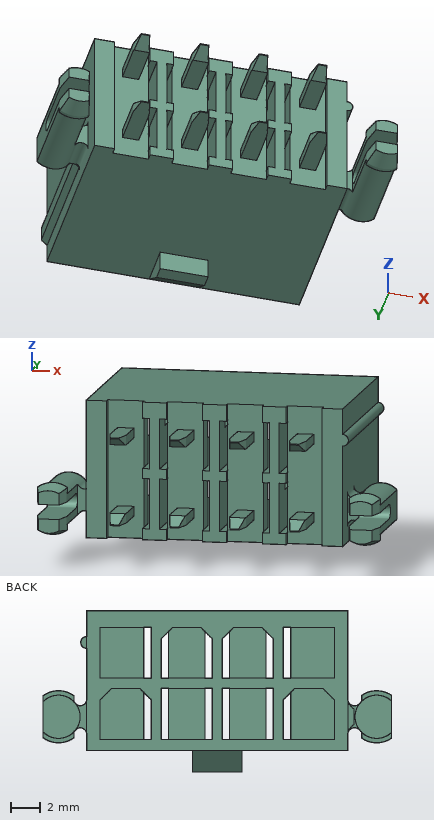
import cadquery as cq
import math


ways = 4
pitch = 4.2
housing_width = 17.95
housing_depth = 12.8
housing_height = 9.6
side_x = housing_width / 2
way_xs = [(i - (ways - 1) / 2) * pitch for i in range(ways)]

channel_width = 2.51
channel_depth = 0.48

cell_size = 3.5
cell_corner = 0.8
cell_floor_y = 2.0
cell_mid_z = 4.62
cell_zs = {"lower": cell_mid_z - pitch / 2, "upper": cell_mid_z + pitch / 2}
chamfered_ways = {"lower": (0, 3), "upper": (1, 2)}

pin_width = 1.15
pin_thickness = 0.67
pin_row_spacing = 5.45
pin_length = 3.52
pin_taper_length = 1.2
pin_wedge_length = 1.05
pin_tip_width = 0.6
pin_tip_thickness = 0.07
pin_root_y = 1.2

latch_width = 3.4
latch_height = 1.48
latch_length = 2.97
latch_flat = 0.95

rib_projection = 0.4
rib_end_gap = 0.07
rib_end_y = housing_depth - rib_end_gap
key_rib_height = 1.87
round_rib_z = 7.42

peg_z = 2.32
peg_outer_x = 11.98
peg_half_widths = {-1: 1.03, 1: 1.08}
peg_back_y = 4.12
shaft_radius = 1.48
head_radius = 1.8
head_start_y = -1.8
head_straight = 0.25
peg_tip_y = -3.33
head_inset = 0.3
slot_height = 1.0
slot_end_y = 1.75

neck_half_height = 0.77
neck_fillet = 0.43
neck_front_y = slot_end_y
neck_back_y = 4.05


def block(x0, x1, y0, y1, z0, z1):
    """Box between two opposite corners."""
    return cq.Workplane("XY").box(x1 - x0, y1 - y0, z1 - z0, centered=False).translate((x0, y0, z0))


def section(y):
    """Sketch plane at depth y with local axes along X and Z; it extrudes towards -Y."""
    return cq.Workplane("XZ", origin=(0, y, 0))


def housing_body():
    body = block(-side_x, side_x, 0, housing_depth, 0, housing_height)
    for x in way_xs:
        body = body.cut(
            block(x - channel_width / 2, x + channel_width / 2, 0, channel_depth, 0, housing_height)
        )
    return body


def contact_cell(x, z, chamfered):
    cell = section(housing_depth).center(x, z).rect(cell_size, cell_size)
    cell = cell.extrude(housing_depth - cell_floor_y)
    if chamfered:
        cell = cell.edges("|Y and >Z").chamfer(cell_corner)
    return cell


def floor_slits(z):
    """Slits through the cell floors, in the ridges between neighbouring channels."""
    slits = cq.Workplane("XY")
    for left_x, right_x in zip(way_xs, way_xs[1:]):
        bounds = (
            (left_x + channel_width / 2, left_x + cell_size / 2),
            (right_x - cell_size / 2, right_x - channel_width / 2),
        )
        for x0, x1 in bounds:
            slits = slits.add(block(x0, x1, 0, cell_floor_y, z - cell_size / 2, z + cell_size / 2))
    return slits.combine()


def pin(x, z, outward):
    """Pin with a wedge tip; its straight face is on the outward side (+1 up, -1 down)."""
    taper_y = pin_taper_length - pin_length
    wedge_y = pin_wedge_length - pin_length
    outer_z = outward * pin_thickness / 2
    side = (
        cq.Workplane("YZ")
        .polyline([
            (pin_root_y, outer_z),
            (-pin_length, outer_z),
            (-pin_length, outer_z - outward * pin_tip_thickness),
            (wedge_y, -outer_z),
            (pin_root_y, -outer_z),
        ])
        .close()
        .extrude(pin_width / 2, both=True)
    )
    plan = (
        cq.Workplane("XY")
        .polyline([
            (-pin_width / 2, pin_root_y),
            (-pin_width / 2, taper_y),
            (-pin_tip_width / 2, -pin_length),
            (pin_tip_width / 2, -pin_length),
            (pin_width / 2, taper_y),
            (pin_width / 2, pin_root_y),
        ])
        .close()
        .extrude(pin_thickness, both=True)
    )
    return side.intersect(plan).translate((x, 0, z))


def latch_ramp():
    profile = [
        (housing_depth, 0),
        (housing_depth - latch_length, 0),
        (housing_depth - latch_length, -latch_height),
        (housing_depth - latch_length + latch_flat, -latch_height),
    ]
    return cq.Workplane("YZ").polyline(profile).close().extrude(latch_width / 2, both=True)


def key_rib():
    """Bevelled rib on the -X side, running from the neck towards the mating side."""
    half = key_rib_height / 2
    profile = [
        (-side_x, peg_z - half),
        (-side_x - rib_projection, peg_z - half + rib_projection),
        (-side_x - rib_projection, peg_z + half - rib_projection),
        (-side_x, peg_z + half),
    ]
    return section(rib_end_y).polyline(profile).close().extrude(rib_end_y - neck_back_y)


def round_rib():
    """Half-round rib on the +X side."""
    return section(rib_end_y).center(side_x, round_rib_z).circle(rib_projection).extrude(rib_end_y)


def flattened_disc(plane, radius, half_width):
    """Wire of a circle cut off by two vertical flats."""
    half_flat = math.sqrt(radius**2 - half_width**2)
    return (
        plane.moveTo(-half_width, -half_flat)
        .lineTo(-half_width, half_flat)
        .threePointArc((0, radius), (half_width, half_flat))
        .lineTo(half_width, -half_flat)
        .threePointArc((0, -radius), (-half_width, -half_flat))
        .close()
    )


def peg(half_width):
    """Peg on the +X side with a tapered head and a slot; its shaft is round only where the neck meets it."""
    center_x = peg_outer_x - half_width
    cone_start_y = head_start_y - head_straight

    def at(y):
        return section(y).center(center_x, peg_z)

    shaft = at(peg_back_y).circle(shaft_radius).extrude(peg_back_y - head_start_y)
    bottom_z = peg_z - shaft_radius
    top_z = peg_z + shaft_radius
    inner_x = center_x - half_width
    shaft = shaft.cut(
        block(peg_outer_x, center_x + shaft_radius, head_start_y, peg_back_y, bottom_z, top_z)
    )
    shaft = shaft.cut(
        block(center_x - shaft_radius, inner_x, head_start_y, neck_front_y, bottom_z, top_z)
    )

    head = flattened_disc(at(head_start_y), head_radius, half_width).extrude(head_straight)
    cone_length = cone_start_y - peg_tip_y
    tip = flattened_disc(at(cone_start_y), head_radius, half_width)
    tip = flattened_disc(
        tip.workplane(offset=cone_length), head_radius - head_inset, half_width - head_inset
    ).loft(ruled=True)

    slot_radius = slot_height / 2
    slot_center_y = slot_end_y - slot_radius
    slot = block(
        center_x - head_radius, center_x + head_radius,
        peg_tip_y, slot_center_y,
        peg_z - slot_radius, peg_z + slot_radius,
    )
    slot_end = (
        cq.Workplane("YZ", origin=(center_x, slot_center_y, peg_z))
        .circle(slot_radius)
        .extrude(head_radius, both=True)
    )
    return shaft.union(head).union(tip).cut(slot).cut(slot_end)


def neck(half_width):
    """Web on the +X side, filleted into the housing and into the round peg shaft."""
    center_x = peg_outer_x - half_width
    fillet_z = neck_half_height + neck_fillet
    center_gap = shaft_radius + neck_fillet
    shaft_fillet_x = center_x - math.sqrt(center_gap**2 - fillet_z**2)
    share = shaft_radius / center_gap
    touch_x = center_x + (shaft_fillet_x - center_x) * share
    touch_z = fillet_z * share
    house_fillet_x = side_x + neck_fillet
    diagonal = neck_fillet * math.sqrt(0.5)
    mid_angle = (math.atan2(fillet_z, center_x - shaft_fillet_x) + math.pi / 2) / 2
    shaft_mid_x = shaft_fillet_x + neck_fillet * math.cos(mid_angle)
    shaft_mid_z = fillet_z - neck_fillet * math.sin(mid_angle)
    upper_half = (
        section(neck_back_y)
        .center(0, peg_z)
        .moveTo(side_x, 0)
        .lineTo(side_x, fillet_z)
        .threePointArc((house_fillet_x - diagonal, fillet_z - diagonal), (house_fillet_x, neck_half_height))
        .lineTo(shaft_fillet_x, neck_half_height)
        .threePointArc((shaft_mid_x, shaft_mid_z), (touch_x, touch_z))
        .lineTo(touch_x, 0)
        .close()
        .extrude(neck_back_y - neck_front_y)
    )
    lower_half = upper_half.mirror("XY", (0, 0, peg_z))
    return upper_half.union(lower_half)


def board_lock(side):
    """Peg with its neck; side is -1 for the -X end and +1 for the +X end."""
    half_width = peg_half_widths[side]
    lock = neck(half_width).union(peg(half_width))
    return lock if side > 0 else lock.mirror("YZ")


result = housing_body().union(latch_ramp()).union(key_rib()).union(round_rib())

for row, row_z in cell_zs.items():
    for way, way_x in enumerate(way_xs):
        result = result.cut(contact_cell(way_x, row_z, way in chamfered_ways[row]))
    result = result.cut(floor_slits(row_z))

for row_side in (-1, 1):
    for way_x in way_xs:
        result = result.union(pin(way_x, cell_mid_z + row_side * pin_row_spacing / 2, row_side))

for end in (-1, 1):
    result = result.union(board_lock(end))